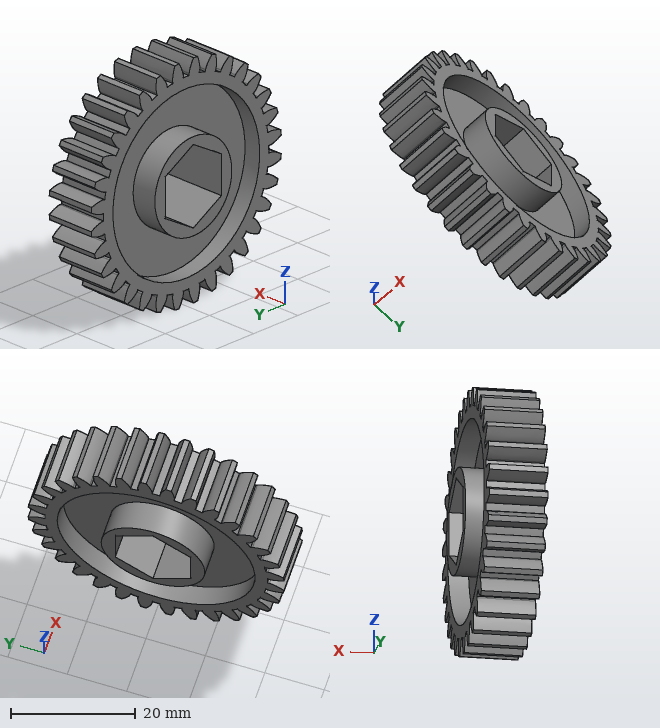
import cadquery as cq
import math

OUTER_SIZE = 43.05
TOOTH_COUNT = 32
PRESSURE_ANGLE = math.radians(20)
GEAR_WIDTH = 9.5

HUB_WIDTH = 12.7
HUB_DIAMETER = 17.45
HEX_ACROSS_FLATS = 12.7

RECESS_DIAMETER = 33.3
RECESS_DEPTH = 3.3

ADDENDUM = 1.0
DEDENDUM = 1.25

FLANK_STEPS = 6

tooth_pitch_angle = 2 * math.pi / TOOTH_COUNT


def involute_angle(pressure_angle):
    """Polar angle swept by an involute up to the point with this pressure angle."""
    return math.tan(pressure_angle) - pressure_angle


base_half_angle = tooth_pitch_angle / 4 + involute_angle(PRESSURE_ANGLE)

pitch_to_tip_ratio = TOOTH_COUNT / (TOOTH_COUNT + 2 * ADDENDUM)
tip_pressure_angle = math.acos(pitch_to_tip_ratio * math.cos(PRESSURE_ANGLE))
tip_half_angle = base_half_angle - involute_angle(tip_pressure_angle)

tip_radius = OUTER_SIZE / 2 / math.cos(tooth_pitch_angle / 2 - tip_half_angle)
pitch_radius = tip_radius * pitch_to_tip_ratio
module = 2 * pitch_radius / TOOTH_COUNT
root_radius = pitch_radius - DEDENDUM * module
base_radius = pitch_radius * math.cos(PRESSURE_ANGLE)


def polar(radius, angle):
    return (radius * math.cos(angle), radius * math.sin(angle))


def flank_points(center_angle, side):
    """Points along an involute flank from base to tip; side is -1 or +1."""
    tip_roll = math.tan(tip_pressure_angle)
    points = []
    for step in range(FLANK_STEPS + 1):
        roll = tip_roll * step / FLANK_STEPS
        radius = base_radius * math.hypot(1, roll)
        half_angle = base_half_angle - involute_angle(math.atan(roll))
        points.append(polar(radius, center_angle + side * half_angle))
    return points


def toothed_blank():
    """Gear blank whose tooth gaps are centred on the Y and Z axes."""
    first_center = tooth_pitch_angle / 2
    outline = cq.Workplane("YZ", origin=(-GEAR_WIDTH / 2, 0, 0))
    outline = outline.moveTo(*polar(root_radius, first_center - base_half_angle))
    for tooth in range(TOOTH_COUNT):
        center = first_center + tooth * tooth_pitch_angle
        next_gap = center + tooth_pitch_angle / 2
        next_tooth = center + tooth_pitch_angle - base_half_angle
        rising = flank_points(center, -1)
        falling = flank_points(center, 1)[::-1]
        outline = (
            outline.lineTo(*rising[0])
            .spline(rising[1:], includeCurrent=True)
            .threePointArc(polar(tip_radius, center), falling[0])
            .spline(falling[1:], includeCurrent=True)
            .lineTo(*polar(root_radius, center + base_half_angle))
            .threePointArc(polar(root_radius, next_gap), polar(root_radius, next_tooth))
        )
    return outline.close().extrude(GEAR_WIDTH)


def cylinder(diameter, start, length):
    """Cylinder along X."""
    return cq.Workplane("YZ", origin=(start, 0, 0)).circle(diameter / 2).extrude(length)


def hex_bore():
    """Hexagonal prism along X with corners on the Z axis."""
    across_corners = HEX_ACROSS_FLATS / math.cos(math.pi / 6)
    prism = cq.Workplane("YZ", origin=(-HUB_WIDTH / 2, 0, 0))
    return prism.transformed(rotate=(0, 0, 90)).polygon(6, across_corners).extrude(HUB_WIDTH)


gear = toothed_blank()
for recess_start in (-GEAR_WIDTH / 2, GEAR_WIDTH / 2 - RECESS_DEPTH):
    gear = gear.cut(cylinder(RECESS_DIAMETER, recess_start, RECESS_DEPTH))

hub = cylinder(HUB_DIAMETER, -HUB_WIDTH / 2, HUB_WIDTH)
result = gear.union(hub).cut(hex_bore())